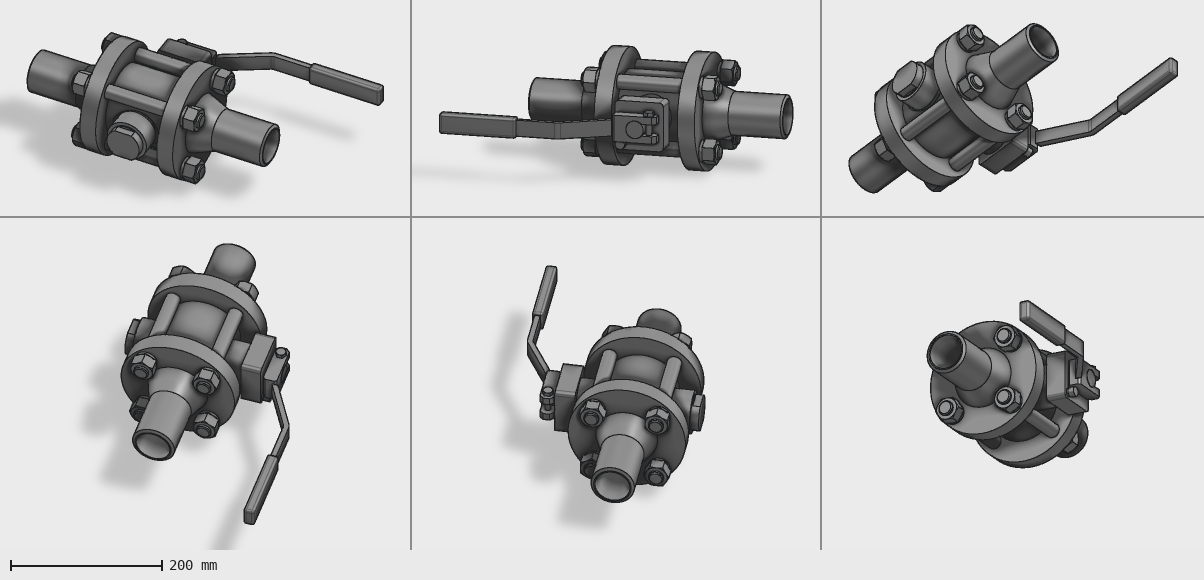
import cadquery as cq
import math


overall_length = 350.0
bore_dia = 47.0
pipe_dia = 58.5
bevel_length = 2.3
bevel_depth = 4.0
flange_dia = 158.0
flange_thickness = 23.5
flange_gap = 91.0
flange_outer_x = flange_gap / 2 + flange_thickness
neck_dia = 83.0
neck_length = 32.0

housing_dia = 100.0
boss_dia = 58.0
boss_end_y = -77.0
boss_neck_dia = 50.0
groove_dia = 69.0
groove_depth = 7.0

plug_dia = 48.0
plug_across_flats = 41.0
plug_collar = 1.5
plug_end_y = -88.5

stud_dia = 20.0
stud_offset = 43.5
stud_tip = 4.5
stud_chamfer = 1.5
washer_dia = 29.5
washer_thickness = 4.5
nut_across_flats = 30.0
nut_thickness = 17.0
nut_stack = washer_thickness + nut_thickness
stud_end_x = flange_outer_x + nut_stack + stud_tip

hexagon_chamfer_angle = math.radians(30)

bonnet_dia = 58.0
block_size = 66.5
block_fillet = 5.5
block_bottom_y = 76.0
block_top_y = 103.5
stem_dia = 24.0
stem_top_y = 125.5
stop_x = 23.5
stop_z = -24.6
stop_shank_dia = 12.0
stop_head_dia = 13.0
stop_head_y = 106.0
stop_top_y = 114.5

clamp_length = 60.0
clamp_start_x = -28.5
clamp_end_x = clamp_start_x + clamp_length
clamp_width = 36.0
clamp_bottom_y = 106.0
clamp_thickness = 19.0
clamp_top_y = clamp_bottom_y + clamp_thickness
clamp_mid_y = clamp_bottom_y + clamp_thickness / 2
clamp_free_chamfer = 5.0
clamp_lever_chamfer = 3.0
slot_width = 16.0

bolt_x = -17.0
bolt_dia = 8.0
bolt_head_across_flats = 13.0
bolt_head_height = 5.3

lever_thickness = 7.5
lever_width = 22.0
lever_angle = math.radians(30)
lever_y = 160.2
lever_root_y = 123.0
lever_root_depth = 4.0
lever_bend_radius = 12.0
lever_z = 1.0
grip_length = 105.5
grip_end_x = overall_length / 2 + 82.54
grip_start_x = grip_end_x - grip_length
grip_thickness = 14.6
grip_width = 27.5
grip_fillet = 3.5


def cylinder_x(diameter, start_x, end_x, y=0.0, z=0.0):
    """Cylinder along X between two X positions."""
    axis = cq.Workplane("YZ", origin=(start_x, y, z))
    return axis.circle(diameter / 2).extrude(end_x - start_x)


def cylinder_y(diameter, start_y, end_y, x=0.0, z=0.0):
    """Cylinder along Y between two Y positions."""
    axis = cq.Workplane("XZ", origin=(x, start_y, z))
    return axis.circle(diameter / 2).extrude(start_y - end_y)


def make_hexagon(across_flats, length):
    """Hexagon along +X from the origin, its corners chamfered at the far end."""
    flat_radius = across_flats / 2
    corner_radius = flat_radius / math.cos(math.pi / 6)
    chamfer_length = (corner_radius - flat_radius) * math.tan(hexagon_chamfer_angle)
    envelope = (
        cq.Workplane("XY")
        .moveTo(0, 0)
        .lineTo(0, corner_radius)
        .lineTo(length - chamfer_length, corner_radius)
        .lineTo(length, flat_radius)
        .lineTo(length, 0)
        .close()
        .revolve(360, (0, 0, 0), (1, 0, 0))
    )
    return cq.Workplane("YZ").polygon(6, 2 * corner_radius).extrude(length).intersect(envelope)


def make_run():
    """Pipes, necks, flanges and housing, turned about X as one solid."""
    end_x = overall_length / 2
    neck_x = flange_outer_x + neck_length
    half_profile = [
        (flange_gap / 2, housing_dia / 2),
        (flange_gap / 2, flange_dia / 2),
        (flange_outer_x, flange_dia / 2),
        (flange_outer_x, neck_dia / 2),
        (neck_x, pipe_dia / 2),
        (end_x - bevel_length, pipe_dia / 2),
        (end_x, pipe_dia / 2 - bevel_depth),
        (end_x, 0),
    ]
    mirrored = [(-x, r) for x, r in reversed(half_profile)]
    profile = cq.Workplane("XY").polyline(mirrored + half_profile).close()
    return profile.revolve(360, (0, 0, 0), (1, 0, 0))


def make_boss_groove():
    """Conical groove in the housing around the neck of the boss."""
    surface_y = -housing_dia / 2
    profile = (
        cq.Workplane("XY")
        .moveTo(0, surface_y)
        .lineTo(groove_dia / 2, surface_y)
        .lineTo(boss_neck_dia / 2, surface_y + groove_depth)
        .lineTo(0, surface_y + groove_depth)
        .close()
    )
    return profile.revolve(360, (0, 0, 0), (0, 1, 0))


def make_plug():
    """Round plug with two flats above a full collar."""
    collar_end_y = boss_end_y - plug_collar
    collar = cylinder_y(plug_dia, boss_end_y, collar_end_y)
    flat_length = collar_end_y - plug_end_y
    flats = cq.Workplane("XY").box(plug_dia, flat_length, plug_across_flats)
    flats = flats.translate((0, plug_end_y + flat_length / 2, 0))
    return cylinder_y(plug_dia, collar_end_y, plug_end_y).intersect(flats).union(collar)


def make_stud(turn):
    """Stud on the X axis with a washer and a nut at each end."""
    stud = cylinder_x(stud_dia, -stud_end_x, stud_end_x).faces("<X or >X").chamfer(stud_chamfer)
    washer_end_x = flange_outer_x + washer_thickness
    washer = cylinder_x(washer_dia, flange_outer_x, washer_end_x)
    nut = make_hexagon(nut_across_flats, nut_thickness)
    nut = nut.rotate((0, 0, 0), (1, 0, 0), turn).translate((washer_end_x, 0, 0))
    fastener = washer.union(nut)
    return stud.union(fastener).union(fastener.mirror("YZ"))


def make_block():
    """Square bonnet block with rounded corners."""
    height = block_top_y - block_bottom_y
    block = cq.Workplane("XY").box(block_size, height, block_size)
    return block.edges("|Y").fillet(block_fillet).translate((0, block_bottom_y + height / 2, 0))


def make_valve():
    valve = make_run().cut(make_boss_groove())
    valve = valve.union(cylinder_y(boss_neck_dia, 0, boss_end_y))
    valve = valve.union(cylinder_y(boss_dia, -housing_dia / 2, boss_end_y))
    valve = valve.union(make_plug())
    valve = valve.union(cylinder_y(bonnet_dia, 0, block_bottom_y))
    valve = valve.union(make_block())
    valve = valve.union(cylinder_y(stem_dia, block_top_y, stem_top_y))
    valve = valve.union(cylinder_y(stop_shank_dia, block_top_y, stop_head_y, stop_x, stop_z))
    valve = valve.union(cylinder_y(stop_head_dia, stop_head_y, stop_top_y, stop_x, stop_z))
    for y_side in (-1, 1):
        for z_side in (-1, 1):
            turn = 90 if y_side != z_side else 0
            stud = make_stud(turn)
            valve = valve.union(stud.translate((0, y_side * stud_offset, z_side * stud_offset)))
    return valve.cut(cylinder_x(bore_dia, -overall_length / 2, overall_length / 2))


def make_clamp():
    """Split clamp that grips the stem, with its clamping bolt."""
    clamp = cq.Workplane("XY").box(clamp_length, clamp_thickness, clamp_width)
    clamp = clamp.edges("|Z and <X").chamfer(clamp_free_chamfer)
    clamp = clamp.edges("|Z and >X").chamfer(clamp_lever_chamfer)
    clamp = clamp.translate((clamp_start_x + clamp_length / 2, clamp_mid_y, 0))
    clamp = clamp.cut(cylinder_y(stem_dia, clamp_bottom_y, clamp_top_y))
    slot = cq.Workplane("XY").box(-clamp_start_x, clamp_thickness, slot_width)
    clamp = clamp.cut(slot.translate((clamp_start_x / 2, clamp_mid_y, 0)))
    shank = cq.Workplane("XY", origin=(bolt_x, clamp_mid_y, -clamp_width / 2))
    shank = shank.circle(bolt_dia / 2).extrude(clamp_width)
    head = make_hexagon(bolt_head_across_flats, bolt_head_height)
    head = head.rotate((0, 0, 0), (0, 1, 0), -90)
    head = head.translate((bolt_x, clamp_mid_y, clamp_width / 2))
    return clamp.union(shank).union(head)


def make_lever():
    """Flat bar that rises from the clamp and bends parallel to the pipe."""
    half = lever_thickness / 2
    half_rise = half / math.cos(lever_angle)
    outer_radius = lever_bend_radius + half
    inner_radius = lever_bend_radius - half
    corner_x = clamp_end_x + (lever_y - lever_root_y) / math.tan(lever_angle)
    bend_x = corner_x + lever_bend_radius * math.tan(lever_angle / 2)
    bend_y = lever_y - lever_bend_radius

    def bend_point(radius, angle):
        """Point of the bend, with the angle measured from +Y toward -X."""
        return (bend_x - radius * math.sin(angle), bend_y + radius * math.cos(angle))

    tongue_x = clamp_end_x - lever_root_depth
    tongue_top_y = clamp_top_y - clamp_lever_chamfer
    tongue_bottom_y = lever_root_y - half_rise - lever_root_depth * math.tan(lever_angle)
    bar = (
        cq.Workplane("XY", origin=(0, 0, lever_z))
        .moveTo(tongue_x, tongue_top_y)
        .lineTo(clamp_end_x, tongue_top_y)
        .lineTo(clamp_end_x, lever_root_y + half_rise)
        .lineTo(*bend_point(outer_radius, lever_angle))
        .threePointArc(bend_point(outer_radius, lever_angle / 2), bend_point(outer_radius, 0))
        .lineTo(grip_start_x, lever_y + half)
        .lineTo(grip_start_x, lever_y - half)
        .lineTo(*bend_point(inner_radius, 0))
        .threePointArc(bend_point(inner_radius, lever_angle / 2), bend_point(inner_radius, lever_angle))
        .lineTo(tongue_x, tongue_bottom_y)
        .close()
    )
    return bar.extrude(lever_width / 2, both=True)


def make_grip():
    """Rounded sleeve on the end of the lever."""
    grip = cq.Workplane("XY").box(grip_length, grip_thickness, grip_width).edges().fillet(grip_fillet)
    return grip.translate((grip_start_x + grip_length / 2, lever_y, lever_z))


valve = make_valve()
handle = make_clamp().union(make_lever()).union(make_grip())

result = cq.Compound.makeCompound([valve.val(), handle.val()])